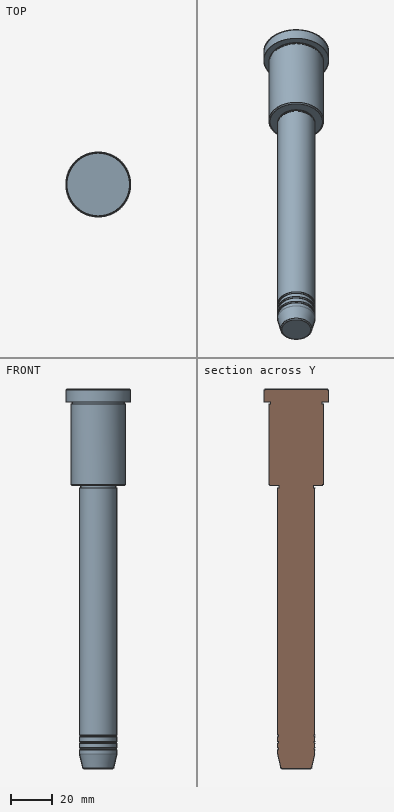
import cadquery as cq

length = 181.0
flange_radius = 31.0 / 2
body_radius = 26.0 / 2
rod_radius = 18.0 / 2
tip_radius = 14.8 / 2

flange_height = 6.2
head_height = 46.0
taper_height = 7.0

flange_chamfer = 0.5
body_chamfer = 0.5
tip_chamfer = 0.5

relief_depth = 0.5
flange_relief_width = 0.9
body_relief_width = 1.0

groove_count = 3
groove_width = 1.0
groove_depth = groove_width / 2
groove_pitch = 3.0
first_groove_center = 9.6

flange_bottom = length - flange_height
body_bottom = length - head_height


def cylinder(radius, bottom, top):
    """Upright cylinder on the Z axis between two heights."""
    return cq.Workplane("XY").workplane(offset=bottom).circle(radius).extrude(top - bottom)


def relief_ring(shaft_radius, top, width):
    """Ring that cuts a square relief into a shaft, just below the given height."""
    outer = cylinder(shaft_radius + relief_depth, top - width, top)
    return outer.cut(cylinder(shaft_radius - relief_depth, top - width, top))


def revolved(points):
    """Solid made by turning a closed XZ outline about the Z axis."""
    return cq.Workplane("XZ").polyline(points).close().revolve(360, (0, 0), (0, 1))


def v_groove_ring(center):
    """Triangular ring that cuts a V groove into the rod."""
    return revolved([
        (-rod_radius, center - groove_width / 2),
        (-rod_radius + groove_depth, center),
        (-rod_radius, center + groove_width / 2),
    ])


flange = cylinder(flange_radius, flange_bottom, length).faces(">Z").chamfer(flange_chamfer)

body = cylinder(body_radius, body_bottom, flange_bottom).faces("<Z").chamfer(body_chamfer)
body = body.cut(relief_ring(body_radius, flange_bottom, flange_relief_width))

rod = revolved([
    (0, 0),
    (-(tip_radius - tip_chamfer), 0),
    (-tip_radius, tip_chamfer),
    (-rod_radius, taper_height),
    (-rod_radius, body_bottom),
    (0, body_bottom),
])

rod = rod.cut(relief_ring(rod_radius, body_bottom, body_relief_width))

for index in range(groove_count):
    rod = rod.cut(v_groove_ring(first_groove_center + index * groove_pitch))

result = flange.union(body).union(rod)